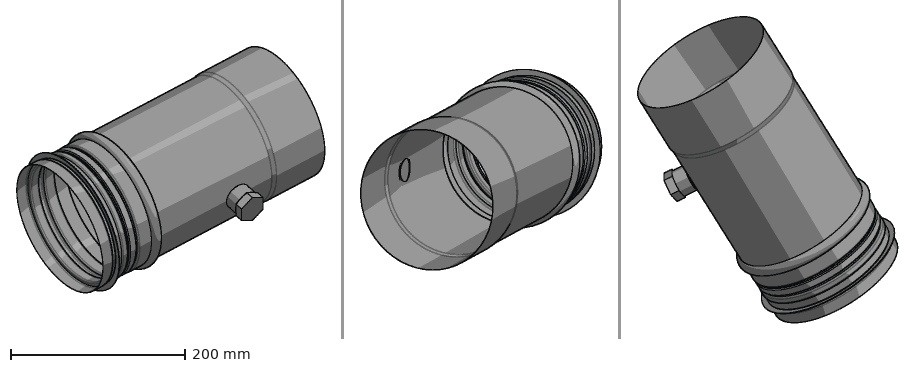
import cadquery as cq
import math

LENGTH = 320.0
WALL = 0.48

PIPE_RADIUS = 162.5 / 2
SOCKET_RADIUS = 165.5 / 2
STEP_START = 244.5
STEP_END = 250.2

BEAD_CENTER = 77.0
BEAD_WIDTH = 14.0
BEAD_RADIUS = 173.0 / 2

LIP_GROOVE = (13.5, 29.8)
LIP_FLOOR_RADIUS = 75.2
BAND_GROOVE = (35.0, 53.5)
BAND_FLOOR_RADIUS = 76.8
RIM_BEND = 2.0
FLOOR_BEND = 1.5

BASE_RADIUS = 157.0 / 2
BAND_RADIUS = 161.5 / 2
BAND_WIDTH = 10.2
BAND_CHAMFER = 1.3

LIP_SEAL_RADIUS = 160.5 / 2
LIP_RADIUS = 174.7 / 2
LIP_CENTER = 19.0
LIP_THICKNESS = 1.0

PORT_Y = 195.0
BRANCH_DIAMETER = 32.5
SPIGOT_DIAMETER = 27.0
CAP_ACROSS_FLATS = 31.5
CAP_START = 98.0
CAP_END = 108.8


def revolve_around_pipe_axis(profile):
    """Turn a closed profile drawn in the XY plane once around the Y axis."""
    return profile.close().revolve(360, (0, 0, 0), (0, 1, 0))


def ring(inner_radius, outer_radius, start, end):
    profile = (
        cq.Workplane("XY")
        .moveTo(-inner_radius, start)
        .lineTo(-outer_radius, start)
        .lineTo(-outer_radius, end)
        .lineTo(-inner_radius, end)
    )
    return revolve_around_pipe_axis(profile)


def add_arc(profile, center_radius, center_y, arc_radius, start_angle, end_angle):
    """Add an arc around (center_radius, center_y); angle 0 points outward and 90 along +Y."""

    def point(angle):
        turn = math.radians(angle)
        return (-center_radius - arc_radius * math.cos(turn), center_y + arc_radius * math.sin(turn))

    profile = profile.lineTo(*point(start_angle))
    return profile.threePointArc(point((start_angle + end_angle) / 2), point(end_angle))


def add_groove(profile, groove, floor_radius, inset):
    """Add one groove with rounded rims and floor corners; the bends stay concentric when inset."""
    lower, upper = groove
    rim_center = PIPE_RADIUS - RIM_BEND
    rim_bend = RIM_BEND - inset
    floor_bend = FLOOR_BEND + inset
    floor_center = floor_radius + FLOOR_BEND
    floor_offset = RIM_BEND + FLOOR_BEND
    profile = add_arc(profile, rim_center, lower, rim_bend, 0, 90)
    profile = add_arc(profile, floor_center, lower + floor_offset, floor_bend, 270, 180)
    profile = add_arc(profile, floor_center, upper - floor_offset, floor_bend, 180, 90)
    return add_arc(profile, rim_center, upper, rim_bend, -90, 0)


def add_bead(profile, inset):
    """Add the outward bead, a circular arc standing on the pipe surface."""
    height = BEAD_RADIUS - PIPE_RADIUS
    outer_arc_radius = ((BEAD_WIDTH / 2) ** 2 + height**2) / (2 * height)
    arc_center = BEAD_RADIUS - outer_arc_radius
    arc_radius = outer_arc_radius - inset
    half_angle = math.degrees(math.acos((PIPE_RADIUS - inset - arc_center) / arc_radius))
    return add_arc(profile, arc_center, BEAD_CENTER, arc_radius, -half_angle, half_angle)


def pipe_envelope(inset):
    """Solid bounded by the outer pipe surface moved inward by the inset."""
    pipe_radius = PIPE_RADIUS - inset
    socket_radius = SOCKET_RADIUS - inset
    profile = cq.Workplane("XY").lineTo(-pipe_radius, 0)
    profile = add_groove(profile, LIP_GROOVE, LIP_FLOOR_RADIUS, inset)
    profile = add_groove(profile, BAND_GROOVE, BAND_FLOOR_RADIUS, inset)
    profile = (
        add_bead(profile, inset)
        .lineTo(-pipe_radius, STEP_START)
        .lineTo(-socket_radius, STEP_END)
        .lineTo(-socket_radius, LENGTH)
        .lineTo(0, LENGTH)
    )
    return revolve_around_pipe_axis(profile)


def groove_filling(envelope, groove, floor_radius, outer_radius):
    """Ring between the groove walls, with its inner corners rounded by the groove floor."""
    lower, upper = groove
    filling = ring(floor_radius, outer_radius, lower + RIM_BEND, upper - RIM_BEND)
    return filling.cut(envelope)


def make_band_seal(envelope):
    middle = sum(BAND_GROOVE) / 2
    band = ring(
        BAND_FLOOR_RADIUS, BAND_RADIUS, middle - BAND_WIDTH / 2, middle + BAND_WIDTH / 2
    )
    band = band.edges(cq.selectors.RadiusNthSelector(-1)).chamfer(BAND_CHAMFER)
    return groove_filling(envelope, BAND_GROOVE, BAND_FLOOR_RADIUS, BASE_RADIUS).union(band)


def make_lip_seal(envelope):
    lip = ring(
        LIP_FLOOR_RADIUS,
        LIP_RADIUS,
        LIP_CENTER - LIP_THICKNESS / 2,
        LIP_CENTER + LIP_THICKNESS / 2,
    )
    return groove_filling(envelope, LIP_GROOVE, LIP_FLOOR_RADIUS, LIP_SEAL_RADIUS).union(lip)


def port_cylinder(diameter, start, end):
    return cq.Workplane("YZ", origin=(start, PORT_Y, 0)).circle(diameter / 2).extrude(end - start)


def make_pipe(envelope, bore):
    spigot_hole = port_cylinder(SPIGOT_DIAMETER, 0, PIPE_RADIUS)
    return envelope.cut(bore).cut(spigot_hole)


def make_branch(bore):
    """Round branch touching the pipe, with a spigot through the wall flush with the bore."""
    spigot = port_cylinder(SPIGOT_DIAMETER, 0, PIPE_RADIUS).cut(bore)
    return port_cylinder(BRANCH_DIAMETER, PIPE_RADIUS, CAP_START).union(spigot)


def make_cap():
    """Hexagonal cap with two corners pointing along Z."""
    across_corners = CAP_ACROSS_FLATS * 2 / math.sqrt(3)
    return (
        cq.Workplane("YZ", origin=(CAP_START, PORT_Y, 0))
        .transformed(rotate=(0, 0, 90))
        .polygon(6, across_corners)
        .extrude(CAP_END - CAP_START)
    )


outer_envelope = pipe_envelope(0)
pipe_bore = pipe_envelope(WALL)
pipe = make_pipe(outer_envelope, pipe_bore)
band_seal = make_band_seal(outer_envelope)
lip_seal = make_lip_seal(outer_envelope)
branch = make_branch(pipe_bore)
cap = make_cap()

result = cq.Compound.makeCompound(
    [pipe.val(), band_seal.val(), lip_seal.val(), branch.val(), cap.val()]
)